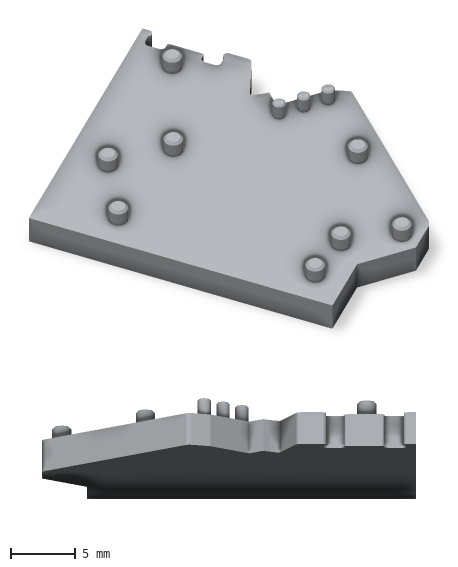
import cadquery as cq
import math

plate_thickness = 2.5
left_reach = 16.25
right_reach = 18.05
plate_top = 28.55

block_left = -4.32
block_right = 14.5
left_slope_width = 0.72
left_slope_height = 1.7
right_chamfer = 2.05
block_left_radius = 0.4
block_right_radius = 1.03

ledge_y = 22.6
ledge_end_x = -5.85
valley = (-6.2, 21.12)
valley_bulge = 0.07

foot_length = 9.2
first_wall = 0.75
tooth_start = 2.47
tooth_end = 5.52
second_wall = 7.13
tooth_depth = 0.82
notch_depth = 1.65
lip_overhang = 0.17
lip_depth = 0.62
lip_radius = 0.3
lip_heel_radius = 0.15
notch_radius = 0.4
tooth_radius = 0.17
foot_end_radius = 0.4

peg_height = 1.4
peg_chamfer = 0.2
large_peg_diameter = 1.5
large_peg_centers = [
    (3.45, 26.2),
    (12.82, 26.03),
    (11.97, 21.25),
    (14.47, 18.07),
    (-2.75, 13.27),
    (-3.05, 7.92),
    (2.75, 6.38),
    (-11.35, 16.75),
]
small_peg_diameter = 1.03
small_peg_chamfer = 0.15
small_peg_x = -3.25
small_peg_first_y = 22.35
small_peg_spacing = 2.05
small_peg_count = 3


def foot_point(along, inward):
    """Place a rail foot point: the foot edge runs up at 45 degrees from the left corner."""
    x = -left_reach + (along + inward) / math.sqrt(2)
    y = left_reach + (along - inward) / math.sqrt(2)
    return (x, y)


foot_end = foot_point(foot_length, 0)
second_lip = foot_point(second_wall - lip_overhang, 0)
second_heel = foot_point(second_wall - lip_overhang, lip_depth)
tooth_upper = foot_point(tooth_end, tooth_depth)
tooth_lower = foot_point(tooth_start, tooth_depth)
first_heel = foot_point(first_wall + lip_overhang, lip_depth)
first_lip = foot_point(first_wall + lip_overhang, 0)
notch_corners = [
    foot_point(along, notch_depth) for along in (second_wall, tooth_end, tooth_start, first_wall)
]

block_left_corner = (block_left + left_slope_width, plate_top)
block_right_corner = (block_right - right_chamfer, plate_top)


def make_plate():
    ledge_end = (ledge_end_x, ledge_y)
    ledge_to_valley_middle = (
        (ledge_end_x + valley[0]) / 2 + valley_bulge,
        (ledge_y + valley[1]) / 2,
    )
    outline = (
        cq.Workplane("XY")
        .moveTo(0, 0)
        .lineTo(right_reach, right_reach)
        .lineTo(block_right, 2 * right_reach - block_right)
        .lineTo(block_right, plate_top - right_chamfer)
        .lineTo(*block_right_corner)
        .lineTo(*block_left_corner)
        .lineTo(block_left, plate_top - left_slope_height)
        .lineTo(block_left, ledge_y)
        .lineTo(*ledge_end)
        .threePointArc(ledge_to_valley_middle, valley)
        .lineTo(*foot_end)
        .lineTo(*second_lip)
        .lineTo(*second_heel)
        .lineTo(*foot_point(second_wall, lip_depth))
        .lineTo(*notch_corners[0])
        .lineTo(*notch_corners[1])
        .lineTo(*tooth_upper)
        .lineTo(*tooth_lower)
        .lineTo(*notch_corners[2])
        .lineTo(*notch_corners[3])
        .lineTo(*foot_point(first_wall, lip_depth))
        .lineTo(*first_heel)
        .lineTo(*first_lip)
        .lineTo(-left_reach, left_reach)
        .close()
    )
    return outline.extrude(plate_thickness)


def round_corners(plate, corners, radius):
    """Fillet the upright edges standing on the given outline corners."""
    for x, y in corners:
        corner_edge = cq.NearestToPointSelector((x, y, plate_thickness / 2))
        plate = plate.edges("|Z").edges(corner_edge).fillet(radius)
    return plate


def make_pegs(centers, diameter, chamfer):
    """Pegs with chamfered tips, rooted at the underside of the plate so they fuse with it."""
    return (
        cq.Workplane("XY")
        .pushPoints(centers)
        .circle(diameter / 2)
        .extrude(plate_thickness + peg_height)
        .faces(">Z")
        .edges()
        .chamfer(chamfer)
    )


plate = make_plate()
plate = round_corners(plate, [block_right_corner], block_right_radius)
plate = round_corners(plate, [block_left_corner], block_left_radius)
plate = round_corners(plate, [foot_end], foot_end_radius)
plate = round_corners(plate, [first_lip, second_lip], lip_radius)
plate = round_corners(plate, [first_heel, second_heel], lip_heel_radius)
plate = round_corners(plate, [tooth_lower, tooth_upper], tooth_radius)
plate = round_corners(plate, notch_corners, notch_radius)

small_peg_centers = [
    (small_peg_x, small_peg_first_y + row * small_peg_spacing) for row in range(small_peg_count)
]
large_pegs = make_pegs(large_peg_centers, large_peg_diameter, peg_chamfer)
small_pegs = make_pegs(small_peg_centers, small_peg_diameter, small_peg_chamfer)

result = plate.union(large_pegs).union(small_pegs)